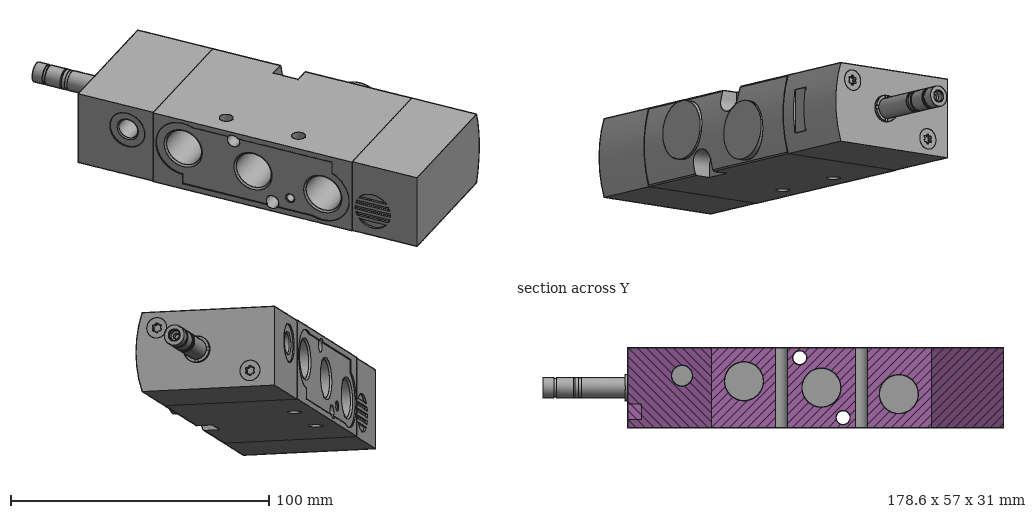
import cadquery as cq
import math

LENGTH = 178.6
HEIGHT = 31.0
TOP_Z = HEIGHT / 2
BACK_Y = 57.0
BODY_BULGE_Y = 56.3
CAP_BULGE_Y = 56.0
CORNER_Y = 53.5
BODY_CORNER_CHAMFER = 0.5
CAP_FRONT_Y = 0.4
CAP_START_X = 32.9
BODY_START_X = 65.2
BODY_END_X = 150.7
BODY_MID_X = (BODY_START_X + BODY_END_X) / 2

PORT_PITCH = 30.0
PORT_RISE = 2.5
PORT_D = 15.0
PORT_MOUTH_D = 16.5
PORT_DEPTH = 21.5

GASKET_D = 23.0
GASKET_HALF_HEIGHT = 13.2
GASKET_STEP_X = 142.2
GASKET_DEPTH = 0.5

BOSS_D = 23.0
BOSS_HALF_PITCH = 18.8
BOSS_RISE = 2.9

MOUNT_D = 5.4
VERTICAL_HOLE_HALF_PITCH = 15.5
VERTICAL_HOLE_Y = 9.0
CROSS_HOLE_HALF_PITCH = 8.4
CROSS_HOLE_Z = 11.6
HEAD_POCKET_WIDTH = 10.7
HEAD_POCKET_Y = 47.2

PILOT_D = 3.2
PILOT_MOUTH_D = 4.0
PILOT_DEPTH = 5.4
PILOT_X = 124.0
PILOT_Z = -8.0

CAP_PORT_X = 54.0
CAP_PORT_Z = 4.6
CAP_PORT_D = 8.0
CAP_PORT_MOUTH_D = 9.1
CAP_PORT_DEPTH = 12.5
SPOTFACE_D = 15.0
SPOTFACE_DEPTH = 0.5
BACK_RECESS_X = 55.7
BACK_RECESS_WIDTH = 6.5
BACK_RECESS_HEIGHT = 17.1
BACK_RECESS_DEPTH = 1.0

VENT_D = 15.0
VENT_X = 159.5
VENT_Z = -4.6
VENT_SLOTS = 5
VENT_SLOT_PITCH = 2.7
VENT_RIB = VENT_SLOT_PITCH / 2
VENT_DEPTH = 0.9

SCREW_D = 8.0
SCREW_LENGTH = 5.4
SCREW_MID_Y = 29.0
SCREW_Y_OFFSET = 18.8
SCREW_Z_OFFSET = 9.3
SOCKET_CORE_D = 3.0
SOCKET_LOBE_D = 0.9
SOCKET_LOBES = 6
SOCKET_DEPTH = 1.8

STEM_Y = 31.5
STEM_D = 8.0
COLLAR_D = 10.4
COLLAR_LENGTH = 1.0
COLLAR_SLOT_WIDTH = 1.3
COLLAR_SLOT_DEPTH = 0.4
CLIP_GROOVE = (4.3, 5.4, 7.1)
NARROW_GROOVE = (12.0, 12.5, 7.9)
WIDE_GROOVE = (14.0, 15.0, 7.9)
TIP_BORE_D = 4.1
TIP_MOUTH_D = 4.8
TIP_BORE_DEPTH = 2.7
TIP_HOLE_D = 2.3
TIP_HOLE_DEPTH = 5.4


def rod_x(x, y, z, diameter, length):
    """Cylinder that starts at (x, y, z) and runs along +X."""
    return cq.Workplane("YZ", origin=(x, y, z)).circle(diameter / 2).extrude(length)


def rod_y(x, y, z, diameter, length):
    """Cylinder that starts at (x, y, z) and runs along +Y."""
    return cq.Workplane("XZ", origin=(x, y, z)).circle(diameter / 2).extrude(-length)


def cone_mouth(start, direction, mouth_d, bore_d):
    """45 degree countersink from the mouth diameter down to the bore diameter."""
    depth = (mouth_d - bore_d) / 2
    cone = cq.Solid.makeCone(mouth_d / 2, bore_d / 2, depth, cq.Vector(*start), cq.Vector(*direction))
    return cq.Workplane(cone)


def countersunk_bore_y(x, y, z, bore_d, mouth_d, depth):
    """Blind round bore along +Y with a countersunk mouth."""
    return rod_y(x, y, z, bore_d, depth).union(cone_mouth((x, y, z), (0, 1, 0), mouth_d, bore_d))


def bulged_block(start_x, end_x, front_y, crest_y, chamfer=0):
    """Block whose back is an arc bulging along +Y, with optional chamfers at the arc's ends."""
    arc_end_y = CORNER_Y + chamfer
    arc_end_z = TOP_Z - chamfer
    outline = cq.Workplane("YZ", origin=(start_x, 0, 0)).moveTo(front_y, TOP_Z).lineTo(front_y, -TOP_Z)
    outline = outline.lineTo(CORNER_Y, -TOP_Z)
    if chamfer > 0:
        outline = outline.lineTo(arc_end_y, -arc_end_z)
    outline = outline.threePointArc((crest_y, 0), (arc_end_y, arc_end_z))
    if chamfer > 0:
        outline = outline.lineTo(CORNER_Y, TOP_Z)
    return outline.close().extrude(end_x - start_x)


def gasket_recess():
    """Shallow recess: an arc around each end port, joined by straight edges."""
    radius = GASKET_D / 2
    left_x = BODY_MID_X - PORT_PITCH
    right_x = BODY_MID_X + PORT_PITCH
    tangent_rise = GASKET_HALF_HEIGHT - PORT_RISE
    arc_dx = math.sqrt(radius**2 - tangent_rise**2)
    step_z = -PORT_RISE + math.sqrt(radius**2 - (GASKET_STEP_X - right_x) ** 2)
    return (
        cq.Workplane("XZ")
        .moveTo(left_x + arc_dx, GASKET_HALF_HEIGHT)
        .lineTo(GASKET_STEP_X, GASKET_HALF_HEIGHT)
        .lineTo(GASKET_STEP_X, step_z)
        .threePointArc((right_x + radius, -PORT_RISE), (right_x - arc_dx, -GASKET_HALF_HEIGHT))
        .lineTo(left_x, -GASKET_HALF_HEIGHT)
        .lineTo(left_x, PORT_RISE - radius)
        .threePointArc((left_x - radius, PORT_RISE), (left_x + arc_dx, GASKET_HALF_HEIGHT))
        .close()
        .extrude(-GASKET_DEPTH)
    )


def head_pocket(x, side):
    """U-shaped pocket around a cross hole, open to the back and to the top (+1) or bottom (-1)."""
    depth = BACK_Y - HEAD_POCKET_Y
    wall_height = TOP_Z - CROSS_HOLE_Z
    round_end = rod_y(x, HEAD_POCKET_Y, side * CROSS_HOLE_Z, HEAD_POCKET_WIDTH, depth)
    opening = cq.Workplane("XY").box(HEAD_POCKET_WIDTH, depth, wall_height).translate(
        (x, HEAD_POCKET_Y + depth / 2, side * (CROSS_HOLE_Z + wall_height / 2))
    )
    return round_end.union(opening)


def make_valve_body():
    body = bulged_block(BODY_START_X, BODY_END_X, 0, BODY_BULGE_Y, BODY_CORNER_CHAMFER)
    for side in (-1, 1):
        boss_x = BODY_MID_X + side * BOSS_HALF_PITCH
        body = body.union(rod_y(boss_x, CORNER_Y, side * BOSS_RISE, BOSS_D, BACK_Y - CORNER_Y))
    body = body.cut(gasket_recess())
    for step in (-1, 0, 1):
        port_x = BODY_MID_X + step * PORT_PITCH
        port_z = -step * PORT_RISE
        body = body.cut(countersunk_bore_y(port_x, GASKET_DEPTH, port_z, PORT_D, PORT_MOUTH_D, PORT_DEPTH))
    body = body.cut(countersunk_bore_y(PILOT_X, GASKET_DEPTH, PILOT_Z, PILOT_D, PILOT_MOUTH_D, PILOT_DEPTH))
    for side in (-1, 1):
        vertical_x = BODY_MID_X + side * VERTICAL_HOLE_HALF_PITCH
        vertical_hole = (
            cq.Workplane("XY", origin=(vertical_x, VERTICAL_HOLE_Y, -TOP_Z))
            .circle(MOUNT_D / 2)
            .extrude(HEIGHT)
        )
        cross_x = BODY_MID_X - side * CROSS_HOLE_HALF_PITCH
        cross_hole = rod_y(cross_x, 0, side * CROSS_HOLE_Z, MOUNT_D, BACK_Y)
        body = body.cut(vertical_hole).cut(cross_hole).cut(head_pocket(cross_x, side))
    return body


def screw_places():
    """Diagonally opposite (y, z) places of the two screws."""
    return [(SCREW_MID_Y + side * SCREW_Y_OFFSET, side * SCREW_Z_OFFSET) for side in (-1, 1)]


def make_left_cap():
    cap = bulged_block(CAP_START_X, BODY_START_X, CAP_FRONT_Y, CAP_BULGE_Y)
    cap = cap.cut(rod_y(CAP_PORT_X, CAP_FRONT_Y, CAP_PORT_Z, SPOTFACE_D, SPOTFACE_DEPTH))
    bore_y = CAP_FRONT_Y + SPOTFACE_DEPTH
    cap = cap.cut(
        countersunk_bore_y(CAP_PORT_X, bore_y, CAP_PORT_Z, CAP_PORT_D, CAP_PORT_MOUTH_D, CAP_PORT_DEPTH)
    )
    recess = cq.Workplane("XY").box(BACK_RECESS_WIDTH, BACK_RECESS_DEPTH, BACK_RECESS_HEIGHT).translate(
        (BACK_RECESS_X, CAP_BULGE_Y - BACK_RECESS_DEPTH / 2, 0)
    )
    cap = cap.cut(recess)
    for y, z in screw_places():
        cap = cap.cut(rod_x(CAP_START_X, y, z, SCREW_D, SCREW_LENGTH))
    return cap


def make_right_cap():
    cap = bulged_block(BODY_END_X, LENGTH, CAP_FRONT_Y, CAP_BULGE_Y)
    slots = rod_y(VENT_X, CAP_FRONT_Y, VENT_Z, VENT_D, VENT_DEPTH)
    rib_count = VENT_SLOTS - 1
    for index in range(rib_count):
        rib_z = VENT_Z + (index - (rib_count - 1) / 2) * VENT_SLOT_PITCH
        rib = cq.Workplane("XY").box(VENT_D, VENT_DEPTH, VENT_RIB).translate(
            (VENT_X, CAP_FRONT_Y + VENT_DEPTH / 2, rib_z)
        )
        slots = slots.cut(rib)
    return cap.cut(slots)


def make_screw(y, z):
    """Flush cylinder head with a six-lobed socket."""
    screw = rod_x(CAP_START_X, y, z, SCREW_D, SCREW_LENGTH)
    socket = rod_x(CAP_START_X, y, z, SOCKET_CORE_D, SOCKET_DEPTH)
    for index in range(SOCKET_LOBES):
        angle = math.radians(90 + index * 360 / SOCKET_LOBES)
        lobe_y = y + SOCKET_CORE_D / 2 * math.cos(angle)
        lobe_z = z + SOCKET_CORE_D / 2 * math.sin(angle)
        socket = socket.union(rod_x(CAP_START_X, lobe_y, lobe_z, SOCKET_LOBE_D, SOCKET_DEPTH))
    return screw.cut(socket)


def ring_groove(start, end, floor_d):
    """Ring to cut around the stem, leaving the floor diameter."""
    ring = rod_x(start, STEM_Y, 0, STEM_D, end - start)
    return ring.cut(rod_x(start, STEM_Y, 0, floor_d, end - start))


def make_stem():
    """Stem with a stepped hole in its tip and three ring grooves, ending at the cap face."""
    stem = rod_x(0, STEM_Y, 0, STEM_D, CAP_START_X)
    for groove in (CLIP_GROOVE, NARROW_GROOVE, WIDE_GROOVE):
        stem = stem.cut(ring_groove(*groove))
    stem = stem.cut(rod_x(0, STEM_Y, 0, TIP_BORE_D, TIP_BORE_DEPTH))
    stem = stem.cut(cone_mouth((0, STEM_Y, 0), (1, 0, 0), TIP_MOUTH_D, TIP_BORE_D))
    return stem.cut(rod_x(0, STEM_Y, 0, TIP_HOLE_D, TIP_HOLE_DEPTH))


def make_collar():
    """Ring around the stem's root with four notches across its front face."""
    start_x = CAP_START_X - COLLAR_LENGTH
    collar = rod_x(start_x, STEM_Y, 0, COLLAR_D, COLLAR_LENGTH)
    for width, height in ((COLLAR_SLOT_WIDTH, COLLAR_D), (COLLAR_D, COLLAR_SLOT_WIDTH)):
        notch = cq.Workplane("YZ", origin=(start_x, STEM_Y, 0)).rect(width, height).extrude(COLLAR_SLOT_DEPTH)
        collar = collar.cut(notch)
    return collar.cut(rod_x(start_x, STEM_Y, 0, STEM_D, COLLAR_LENGTH))


valve_body = make_valve_body()
left_cap = make_left_cap()
right_cap = make_right_cap()
screws = [make_screw(y, z) for y, z in screw_places()]
stem = make_stem()
collar = make_collar()

result = cq.Compound.makeCompound(
    [
        valve_body.val(),
        left_cap.val(),
        right_cap.val(),
        *[screw.val() for screw in screws],
        stem.val(),
        collar.val(),
    ]
)